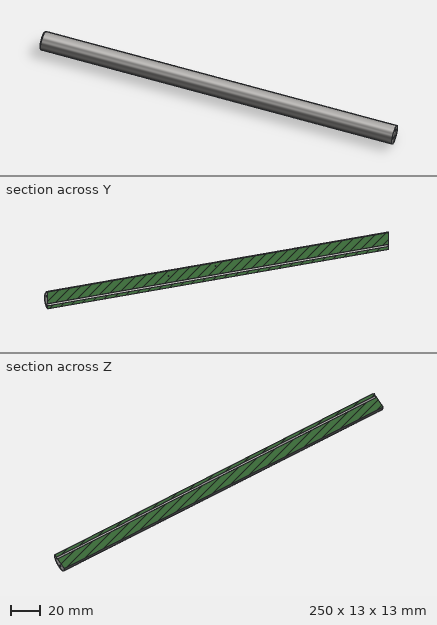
import cadquery as cq

ROD_LENGTH = 250.0
ROD_DIAMETER = 13.0
END_CHAMFER = 0.65

BORE_COUNT = 3
BORE_DIAMETER = 1.2
BORE_CIRCLE_RADIUS = 3.4
FIRST_BORE_ANGLE = 49.0
FULL_TURN = 360.0


def make_rod():
    """Round bar with the rim of its X = 0 end chamfered."""
    rod = cq.Workplane("YZ").circle(ROD_DIAMETER / 2).extrude(ROD_LENGTH)
    return rod.faces("<X").chamfer(END_CHAMFER)


def make_bores():
    """Evenly spaced bores on a circle around the rod axis."""
    return (
        cq.Workplane("YZ")
        .polarArray(BORE_CIRCLE_RADIUS, FIRST_BORE_ANGLE, FULL_TURN, BORE_COUNT)
        .circle(BORE_DIAMETER / 2)
        .extrude(ROD_LENGTH)
    )


result = make_rod().cut(make_bores())